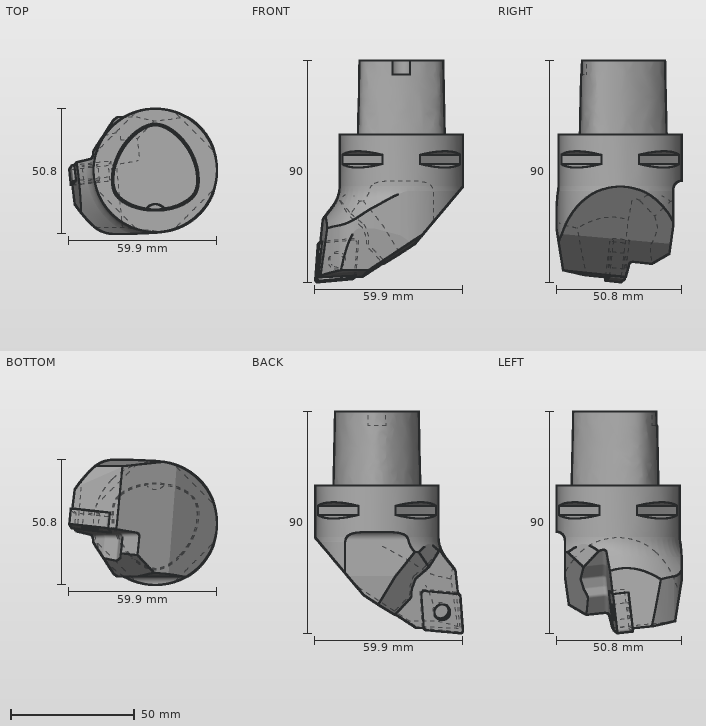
import cadquery as cq
import math


shank_height = 30.0
shank_top_radius = 17.0
shank_base_radius = 17.6
lobe_height = 1.3
lobe_count = 3
lobe_points = 36
notch_radius = 4.3
notch_depth = 5.8
notch_center_y = -18.0

collar_radius = 25.0
collar_height = 21.0
slot_count = 4
slot_half_chord = 11.5
slot_middle_z = -10.2
slot_floor_width = 3.6
slot_mouth_width = 6.7

neck_height = 8.1
cone_angle = 37.5
head_bottom = -63.0
head_radius = 25.2

wall_y = -25.8
wall_arc_start = (-35.1, -9.7)
wall_arc_middle = (-30.7, -16.5)
wall_arc_end = (-24.9, -22.8)
corner_arc_middle = (-21.15, -25.0)
wall_flat_start_x = -16.8
wall_flat_end_x = -10.8
wall_bend = (-0.3, -25.4)
wall_blend_end_x = 2.7
outer_x = -39.6

facet_lower = (-26.1, 6.3)
facet_upper_x = -13.9

flank = ((-27.4, 0, 0), (-1, -0.11, 0.12))
end_face = ((0, 0, -56.6), (0.058, -0.098, -1))
end_face_bevel = ((0, 0, -60.4), (0, -0.23, -1))
steep_back_slope = ((head_radius, 0, -collar_height), (1.19, 0, -1))
shallow_back_slope = ((0, 0, -47.25), (0.66, -0.04, -1))
tapered_wall_flat = ((0, wall_y, -38.25), (0, -1, -0.16))
trim_planes = [flank, end_face, end_face_bevel, steep_back_slope, shallow_back_slope, tapered_wall_flat]

lug_underside_point = (-16.9, 20.5, -27.0)
lug_underside_normal = (-1, 1.4, -0.8)
lug_start_y = 7.2

relief_y = 21.6
relief_radius = 3.3
relief_top = -18.9
relief_bend_z = -36.9
relief_slope = 0.14

nose = (-35.0, 0.2, -60.1)
insert_axis = (0.1, -1.0, 0.11)
insert_edge = 16.1
insert_thickness = 6.4
insert_lean = 5.2
insert_corner_angle = 80.0
insert_nose_radius = 1.2
insert_hole_diameter = 6.4

gullet_floor = [(9.0, -36.0), (15.1, -28.3), (20.8, -23.5), (22.1, -19.35), (22.1, -15.75), (31.95, -5.4)]
gullet_open_x = -18.0
gullet_end_y = 12.6
gullet_length = 54.0
gullet_floor_radius = 1.8
gullet_root_radius = 1.6

reach = 180.0


def lobed_points(radius):
    """Points of the polygon whose support distance varies as a cosine."""
    points = []
    for i in range(lobe_points):
        angle = 2 * math.pi * i / lobe_points
        phase = lobe_count * (angle - math.pi / 2)
        support = radius + lobe_height * math.cos(phase)
        slope = -lobe_count * lobe_height * math.sin(phase)
        x = support * math.cos(angle) - slope * math.sin(angle)
        y = support * math.sin(angle) + slope * math.cos(angle)
        points.append((x, y))
    return points


def make_shank():
    base = cq.Workplane("XY").spline(lobed_points(shank_base_radius), periodic=True).close()
    top = base.workplane(offset=shank_height).spline(lobed_points(shank_top_radius), periodic=True).close()
    shank = top.loft(ruled=True)
    notch = (
        cq.Workplane("XY", origin=(0, notch_center_y, shank_height))
        .circle(notch_radius)
        .extrude(-notch_depth)
    )
    return shank.cut(notch)


def make_collar():
    collar = cq.Workplane("XY").circle(collar_radius).extrude(-collar_height)
    floor_distance = math.sqrt(collar_radius**2 - slot_half_chord**2)
    slot_depth = collar_radius - floor_distance
    half_floor = slot_floor_width / 2
    half_mouth = slot_mouth_width / 2
    slot = (
        cq.Workplane("XZ", origin=(0, 0, slot_middle_z))
        .moveTo(floor_distance, -half_floor)
        .lineTo(floor_distance + slot_depth, -half_mouth)
        .lineTo(floor_distance + slot_depth, half_mouth)
        .lineTo(floor_distance, half_floor)
        .close()
        .extrude(collar_radius, both=True)
    )
    for i in range(slot_count):
        angle = 360 * (i + 0.5) / slot_count
        collar = collar.cut(slot.rotate((0, 0, 0), (0, 0, 1), angle))
    return collar


def make_head_cone():
    """Revolved envelope: a concave fillet below the collar, then a widening cone."""
    angle = math.radians(cone_angle)
    fillet_radius = neck_height / math.sin(angle)
    neck_radius = collar_radius + fillet_radius * (1 - math.cos(angle))
    middle = (
        collar_radius + fillet_radius * (1 - math.cos(angle / 2)),
        -collar_height - fillet_radius * math.sin(angle / 2),
    )
    neck_z = -collar_height - neck_height
    cone_radius = neck_radius + (neck_z - head_bottom) * math.tan(angle)
    return (
        cq.Workplane("XZ")
        .moveTo(0, -collar_height)
        .lineTo(collar_radius, -collar_height)
        .threePointArc(middle, (neck_radius, neck_z))
        .lineTo(cone_radius, head_bottom)
        .lineTo(0, head_bottom)
        .close()
        .revolve(360, (0, 0), (0, 1))
    )


def make_head_prism():
    wall_blend_end = (wall_blend_end_x, -math.sqrt(head_radius**2 - wall_blend_end_x**2))
    return (
        cq.Workplane("XY", origin=(0, 0, -collar_height))
        .moveTo(*wall_arc_start)
        .threePointArc(wall_arc_middle, wall_arc_end)
        .threePointArc(corner_arc_middle, (wall_flat_start_x, wall_y))
        .lineTo(wall_flat_end_x, wall_y)
        .lineTo(*wall_bend)
        .lineTo(*wall_blend_end)
        .threePointArc((head_radius, 0), (0, head_radius))
        .lineTo(facet_upper_x, head_radius)
        .lineTo(*facet_lower)
        .lineTo(outer_x, facet_lower[1])
        .lineTo(outer_x, wall_arc_start[1])
        .close()
        .extrude(head_bottom + collar_height)
    )


def beyond(point, normal):
    """Large block on the outer side of a plane, used to trim the body."""
    plane = cq.Plane(origin=point, normal=normal)
    return cq.Workplane(plane).rect(reach, reach).extrude(reach)


def trim_head(head):
    for point, normal in trim_planes:
        head = head.cut(beyond(point, normal))
    lug_side = beyond((0, lug_start_y, 0), (0, 1, 0))
    lug_underside = beyond(lug_underside_point, lug_underside_normal).intersect(lug_side)
    return head.cut(lug_underside)


def make_relief():
    """Relief on the +Y side, with a rounded run-out into the collar."""
    run_out_y = relief_y + relief_radius
    arc_offset = relief_radius * math.sqrt(0.5)
    bottom_y = relief_y - relief_slope * (relief_bend_z - head_bottom)
    return (
        cq.Workplane("YZ")
        .moveTo(run_out_y + relief_radius, relief_top)
        .lineTo(run_out_y, relief_top)
        .threePointArc(
            (run_out_y - arc_offset, relief_top - relief_radius + arc_offset),
            (relief_y, relief_top - relief_radius),
        )
        .lineTo(relief_y, relief_bend_z)
        .lineTo(bottom_y, head_bottom)
        .lineTo(run_out_y + relief_radius, head_bottom)
        .close()
        .extrude(reach / 2, both=True)
    )


def rake_plane():
    normal = tuple(-component for component in insert_axis)
    return cq.Plane(origin=nose, xDir=(normal[1], -normal[0], 0), normal=normal)


def make_gullet():
    first_y = gullet_floor[0][1]
    last_x = gullet_floor[-1][0]
    open_side = [(last_x, gullet_end_y), (gullet_open_x, gullet_end_y), (gullet_open_x, first_y)]
    gullet = (
        cq.Workplane(rake_plane())
        .polyline(gullet_floor + open_side)
        .close()
        .extrude(gullet_length)
    )
    plane = rake_plane()
    for x, y in gullet_floor[1:-1]:
        corner = plane.toWorldCoords((x, y, gullet_length / 2))
        nearest_edge = cq.selectors.NearestToPointSelector(corner.toTuple())
        gullet = gullet.edges(nearest_edge).fillet(gullet_floor_radius)
    root = cq.selectors.DirectionMinMaxSelector(plane.zDir, False)
    return gullet.faces(root).edges().fillet(gullet_root_radius)


def make_insert_blank():
    bottom_angle = math.radians(insert_lean)
    left_angle = math.radians(insert_lean + insert_corner_angle)
    bottom = (insert_edge * math.cos(bottom_angle), -insert_edge * math.sin(bottom_angle))
    left = (insert_edge * math.cos(left_angle), -insert_edge * math.sin(left_angle))
    far = (bottom[0] + left[0], bottom[1] + left[1])
    blank = (
        cq.Workplane(rake_plane())
        .polyline([(0, 0), bottom, far, left])
        .close()
        .extrude(-insert_thickness)
        .edges(cq.selectors.ParallelDirSelector(rake_plane().zDir))
        .fillet(insert_nose_radius)
    )
    hole = (
        cq.Workplane(rake_plane())
        .center(far[0] / 2, far[1] / 2)
        .circle(insert_hole_diameter / 2)
        .extrude(-insert_thickness)
    )
    return blank, hole


def make_holder(insert_blank):
    head = trim_head(make_head_cone().intersect(make_head_prism()))
    holder = make_shank().union(make_collar()).union(head)
    return holder.cut(make_relief()).cut(make_gullet()).cut(insert_blank)


insert_blank, insert_hole = make_insert_blank()
insert = insert_blank.cut(insert_hole)
holder = make_holder(insert_blank)

result = cq.Compound.makeCompound([holder.solids().val(), insert.solids().val()])